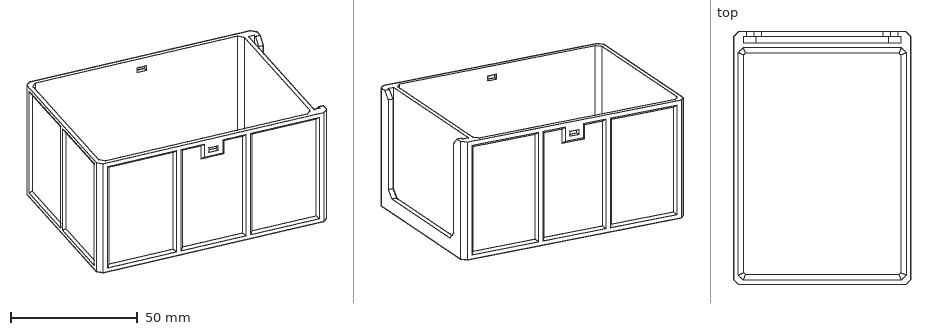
import cadquery as cq

width = 70
length = 100
height = 50
corner = 2.0
half_width = width / 2
half_length = length / 2

wall = 1.8
floor = 1.8
back_wall = 6.4
cavity_corner = 2.0
cavity_foot = 2.2

panel_depth = 1.0
panel_slope = panel_depth
panel_end_margin = 4.0
panel_edge_margin = wall
front_rib = 1.8
side_rib = 2.0
front_panel_width = (width - 2 * panel_end_margin - front_rib) / 2
front_panel_pitch = front_panel_width + front_rib
side_middle_panel_width = 28.2
side_outer_panel_width = (length - 2 * panel_end_margin - 2 * side_rib - side_middle_panel_width) / 2
side_panel_pitch = (side_middle_panel_width + side_outer_panel_width) / 2 + side_rib
panel_height = height - 2 * panel_edge_margin

pad_width = 8.0
pad_bottom = height - 7.8
hole_width = 4.0
hole_height = 2.0
hole_center_z = height - 5.0

lip = 2.1
slot_thickness = 2.5
slot_width = 62.2
slot_floor = 2.0
slot_corner = 5.0
window_width = 54.0
window_floor = 6.0
window_corner = 3.0
window_flare = 3.0


def frustum(plane, w, h, depth, inset):
    """Solid that narrows by inset on every side over depth along the plane normal."""
    base = cq.Workplane(plane).rect(w, h)
    return base.workplane(offset=depth).rect(w - 2 * inset, h - 2 * inset).loft(ruled=True)


def front_panel(x):
    plane = cq.Plane((x, -half_length, height / 2), xDir=(1, 0, 0), normal=(0, 1, 0))
    return frustum(plane, front_panel_width, panel_height, panel_depth, panel_slope)


def side_panel(y, panel_width):
    plane = cq.Plane((-half_width, y, height / 2), xDir=(0, 1, 0), normal=(1, 0, 0))
    return frustum(plane, panel_width, panel_height, panel_depth, panel_slope)


def latch_pad():
    """Pad inside the middle side panel, flush with the wall and widening inwards."""
    pad_height = 2 * (height - pad_bottom)
    plane = cq.Plane((-half_width, 0, height), xDir=(0, 1, 0), normal=(1, 0, 0))
    return frustum(plane, pad_width, pad_height, panel_depth, -panel_slope)


def back_cut(outline, y_start, thickness):
    return cq.Workplane("XZ", origin=(0, y_start, 0)).polyline(outline).close().extrude(-thickness)


def mirrored(right_side):
    """Close a right-hand outline with its mirror image across X = 0."""
    return right_side + [(-x, z) for x, z in reversed(right_side)]


body = cq.Workplane("XY").box(width, length, height, centered=(True, True, False))
body = body.edges("|Z").chamfer(corner)
cavity_length = length - wall - back_wall
cavity = (
    cq.Workplane("XY", origin=(0, (wall - back_wall) / 2, floor))
    .box(width - 2 * wall, cavity_length, height, centered=(True, True, False))
    .edges("|Z")
    .chamfer(cavity_corner)
    .faces("<Z")
    .chamfer(cavity_foot)
)
body = body.cut(cavity)

for side in (-1, 1):
    body = body.cut(front_panel(side * front_panel_pitch / 2))

side_cuts = [
    side_panel(-side_panel_pitch, side_outer_panel_width),
    side_panel(0, side_middle_panel_width).cut(latch_pad()),
    side_panel(side_panel_pitch, side_outer_panel_width),
]
for panel in side_cuts:
    body = body.cut(panel).cut(panel.mirror("YZ"))

latch_hole = cq.Workplane("XY", origin=(0, 0, hole_center_z)).box(width, hole_width, hole_height)
body = body.cut(latch_hole)

slot_half = slot_width / 2
slot_outline = mirrored([
    (slot_half - slot_corner, slot_floor),
    (slot_half, slot_floor + slot_corner),
    (slot_half, height),
])
body = body.cut(back_cut(slot_outline, half_length - lip - slot_thickness, slot_thickness))

window_half = window_width / 2
window_outline = mirrored([
    (window_half - window_corner, window_floor),
    (window_half, window_floor + window_corner),
    (window_half, height - window_flare),
    (window_half + window_flare, height),
])
body = body.cut(back_cut(window_outline, half_length - lip, lip))

result = body